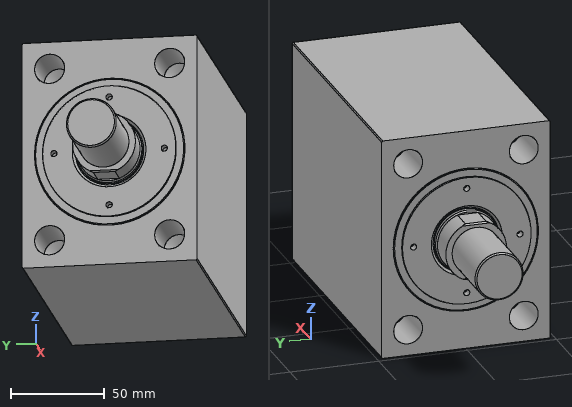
import cadquery as cq
import math

TOTAL_LENGTH = 208.0
ROD_REACH = 56.8
HOUSING_LENGTH = TOTAL_LENGTH - ROD_REACH
HOUSING_WIDTH = 95.0
HOUSING_HEIGHT = 125.0
HOUSING_EDGE_CHAMFER = 0.6

MOUNT_SPACING_Y = 65.0
MOUNT_SPACING_Z = 95.3
MOUNT_RADIUS = 8.1
MOUNT_DEPTH = 29.1
DRILL_POINT_ANGLE = 118.0

GLAND_RADIUS = 40.8
GLAND_DEPTH = 20.8
GLAND_EDGE_CHAMFER = 0.6
BOSS_RADIUS = 36.2
BOSS_HEIGHT = 1.5

SPANNER_HOLE_COUNT = 4
SPANNER_CIRCLE_RADIUS = 30.0
SPANNER_HOLE_RADIUS = 1.7
SPANNER_HOLE_DEPTH = 5.0

WIPER_RADIUS = 18.5
WIPER_DEPTH = 6.2
WIPER_SEAT_CHAMFER = 1.5
LIP_RADIUS = 17.9
LIP_HEIGHT = 1.7
LIP_CONE_LENGTH = 0.8

ROD_RADIUS = 17.0
ROD_END_RADIUS = 13.5
ROD_END_LENGTH = 39.5
ROD_END_CHAMFER = 0.8
FLAT_HALF_DISTANCE = 16.0
FLAT_EDGE_CHAMFER = 0.8

ROD_TIP_X = -ROD_REACH
SHOULDER_X = ROD_TIP_X + ROD_END_LENGTH
BOSS_FACE_X = -BOSS_HEIGHT
LIP_FACE_X = BOSS_FACE_X - LIP_HEIGHT
WIPER_BACK_X = BOSS_FACE_X + WIPER_DEPTH


def cylinder(radius, start_x, end_x):
    """Solid cylinder on the X axis."""
    return cq.Workplane("YZ", origin=(start_x, 0, 0)).circle(radius).extrude(end_x - start_x)


def revolve_profile(points):
    """Solid of revolution about the X axis from (x, radius) points."""
    return cq.Workplane("XY").polyline(points).close().revolve(360, (0, 0, 0), (1, 0, 0))


def drilled_hole(radius, start_x, depth):
    """Blind hole along +X that ends in a conical drill point."""
    point_length = radius / math.tan(math.radians(DRILL_POINT_ANGLE / 2))
    bottom_x = start_x + depth
    return revolve_profile(
        [(start_x, 0), (start_x, radius), (bottom_x, radius), (bottom_x + point_length, 0)]
    )


def make_housing():
    block = (
        cq.Workplane("YZ")
        .rect(HOUSING_WIDTH, HOUSING_HEIGHT)
        .extrude(HOUSING_LENGTH)
        .edges("|X")
        .chamfer(HOUSING_EDGE_CHAMFER)
    )
    block = block.cut(cylinder(GLAND_RADIUS, 0, GLAND_DEPTH))
    hole = drilled_hole(MOUNT_RADIUS, 0, MOUNT_DEPTH)
    for side_y in (-1, 1):
        for side_z in (-1, 1):
            block = block.cut(hole.translate((0, side_y * MOUNT_SPACING_Y / 2, side_z * MOUNT_SPACING_Z / 2)))
    return block


def make_gland():
    disc = cylinder(GLAND_RADIUS, 0, GLAND_DEPTH).faces("<X").edges().chamfer(GLAND_EDGE_CHAMFER)
    gland = disc.union(cylinder(BOSS_RADIUS, BOSS_FACE_X, GLAND_DEPTH))
    gland = gland.cut(cylinder(ROD_RADIUS, BOSS_FACE_X, GLAND_DEPTH))
    seat_mouth_radius = WIPER_RADIUS + WIPER_SEAT_CHAMFER
    wiper_seat = revolve_profile(
        [
            (BOSS_FACE_X, 0),
            (BOSS_FACE_X, seat_mouth_radius),
            (BOSS_FACE_X + WIPER_SEAT_CHAMFER, WIPER_RADIUS),
            (WIPER_BACK_X, WIPER_RADIUS),
            (WIPER_BACK_X, 0),
        ]
    )
    gland = gland.cut(wiper_seat)
    hole = drilled_hole(SPANNER_HOLE_RADIUS, BOSS_FACE_X, SPANNER_HOLE_DEPTH)
    hole = hole.translate((0, SPANNER_CIRCLE_RADIUS, 0))
    for index in range(SPANNER_HOLE_COUNT):
        angle = index * 360 / SPANNER_HOLE_COUNT
        gland = gland.cut(hole.rotate((0, 0, 0), (1, 0, 0), angle))
    return gland


def make_wiper():
    body_front_x = BOSS_FACE_X + WIPER_SEAT_CHAMFER
    return revolve_profile(
        [
            (LIP_FACE_X, ROD_RADIUS),
            (LIP_FACE_X + LIP_CONE_LENGTH, LIP_RADIUS),
            (body_front_x, LIP_RADIUS),
            (body_front_x, WIPER_RADIUS),
            (WIPER_BACK_X, WIPER_RADIUS),
            (WIPER_BACK_X, ROD_RADIUS),
        ]
    )


def make_rod():
    shank = cylinder(ROD_RADIUS, SHOULDER_X, GLAND_DEPTH)
    flat_length = LIP_FACE_X - SHOULDER_X
    flat_middle_x = (LIP_FACE_X + SHOULDER_X) / 2
    cutter_height = ROD_RADIUS
    for side_z in (-1, 1):
        cutter = cq.Workplane("XY").box(flat_length, 2 * ROD_RADIUS, cutter_height)
        cutter_z = side_z * (FLAT_HALF_DISTANCE + cutter_height / 2)
        shank = shank.cut(cutter.translate((flat_middle_x, 0, cutter_z)))
    shank = shank.faces("<X").edges("|Y").chamfer(FLAT_EDGE_CHAMFER)
    rod_end = cylinder(ROD_END_RADIUS, ROD_TIP_X, SHOULDER_X).faces("<X").edges().chamfer(ROD_END_CHAMFER)
    return shank.union(rod_end)


housing = make_housing()
gland = make_gland()
wiper = make_wiper()
rod = make_rod()

result = cq.Compound.makeCompound([housing.val(), gland.val(), wiper.val(), rod.val()])